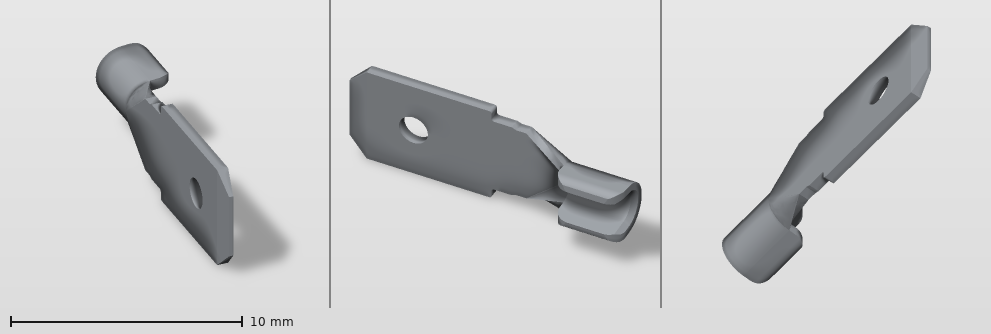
import cadquery as cq
import math

length = 13.97
height = 2.29
thickness = 0.52

blade_width = 4.75
blade_start = 7.0
shoulder_radius = 0.13
tip_start = 13.05
tip_width = 2.96
tip_thickness = 0.2
hole_x = 10.78
hole_diameter = 1.4

neck_start = 5.32
neck_width = 3.58
wide_neck_width = 3.75
neck_step_start = 5.81
neck_step_end = 6.02

barrel_length = 3.19
outer_radius = 1.27
inner_radius = outer_radius - thickness
splay = math.radians(4.5)
coin_start = 1.8
coin_end = (2.25, 1.13)
wing_corner_radius = 0.75
mouth_chamfer = 0.17
mouth_depth = 0.27


def arc_point(radius, angle):
    """(y, z) on a barrel circle, with the angle measured from the barrel bottom."""
    return outer_radius - radius * math.cos(angle), radius * math.sin(angle)


def wing_half_width(radius, y):
    """Half width of the straight wing wall that leaves the given barrel circle."""
    start_y, start_z = arc_point(radius, wing_angle)
    return start_z + (y - start_y) * math.tan(splay)


def mirrored(point):
    """The (y, z) point on the opposite wing."""
    return point[0], -point[1]


wing_angle = math.pi / 2 - splay
outer_end = arc_point(outer_radius, wing_angle)
inner_end = arc_point(inner_radius, wing_angle)
outer_bottom = arc_point(outer_radius, 0)


def channel(x, offset=0.0):
    """Wire across the open channel inside the barrel, with its wall moved out by the offset."""
    radius = inner_radius + offset
    end = arc_point(radius, wing_angle)
    top = (height, wing_half_width(radius, height))
    return (
        cq.Workplane("YZ", origin=(x, 0, 0))
        .moveTo(*mirrored(top))
        .lineTo(*mirrored(end))
        .threePointArc(arc_point(radius, 0), end)
        .lineTo(*top)
        .close()
    )


def make_barrel():
    """U-shaped barrel with rounded wing corners and a chamfered mouth."""
    coin_corner = (coin_start, wing_half_width(outer_radius, coin_start))
    inner_tip = (height, wing_half_width(inner_radius, height))
    body = (
        cq.Workplane("YZ")
        .moveTo(*outer_end)
        .lineTo(*coin_corner)
        .tangentArcPoint(coin_end, relative=False)
        .lineTo(*inner_tip)
        .lineTo(height, 0)
        .lineTo(*outer_bottom)
        .threePointArc(arc_point(outer_radius, wing_angle / 2), outer_end)
        .close()
        .extrude(barrel_length)
    )
    body = body.union(body.mirror("XY")).cut(channel(0).extrude(barrel_length))
    mouth = cq.Solid.makeLoft(
        [channel(0, mouth_chamfer).val(), channel(mouth_depth).val()], True
    )
    side_outline = (
        cq.Workplane("XY")
        .rect(barrel_length, 2 * height)
        .extrude(blade_width, both=True)
        .edges("|Z and >Y")
        .fillet(wing_corner_radius)
        .translate((barrel_length / 2, 0, 0))
    )
    return body.cut(cq.Workplane(mouth)).intersect(side_outline)


def polyhedron(faces):
    """Solid bounded by flat faces, each given as a list of points."""
    sides = []
    for face in faces:
        outline = cq.Wire.makePolygon([cq.Vector(*point) for point in face], close=True)
        sides.append(cq.Face.makeFromWires(outline))
    return cq.Workplane(cq.Solid.makeSolid(cq.Shell.makeShell(sides)))


def fan(radius, corner_y):
    """Flat triangle and two oblique cones running from a barrel circle to the neck corners."""
    bottom = arc_point(radius, 0)
    end = arc_point(radius, wing_angle)
    corner = (neck_start, corner_y, neck_width / 2)
    quarter = (
        cq.Workplane("YZ", origin=(barrel_length, 0, 0))
        .moveTo(*bottom)
        .threePointArc(arc_point(radius, wing_angle / 2), end)
        .lineTo(end[0], 0)
        .close()
        .val()
    )
    apex = cq.Vertex.makeVertex(*corner)
    cone = cq.Workplane(cq.occ_impl.shapes.loft(quarter, apex, cap=True, ruled=True))
    low = (barrel_length, bottom[0], 0)
    high = (barrel_length, end[0], 0)
    far_corner = (neck_start, corner_y, -neck_width / 2)
    middle = polyhedron(
        [
            [low, high, corner],
            [low, far_corner, high],
            [low, corner, far_corner],
            [high, far_corner, corner],
        ]
    )
    return middle.union(cone).union(cone.mirror("XY"))


def make_transition():
    """Flare that opens the barrel out into the flat neck."""
    barrel_edge = [outer_end, inner_end, mirrored(inner_end), mirrored(outer_end)]
    half_neck = neck_width / 2
    neck_edge = [(0, half_neck), (thickness, half_neck), (thickness, -half_neck), (0, -half_neck)]
    barrel_wire = cq.Workplane("YZ", origin=(barrel_length, 0, 0)).polyline(barrel_edge).close().val()
    neck_wire = cq.Workplane("YZ", origin=(neck_start, 0, 0)).polyline(neck_edge).close().val()
    rim = cq.Workplane(cq.Solid.makeLoft([barrel_wire, neck_wire], True))
    return fan(outer_radius, 0).union(rim).cut(fan(inner_radius, thickness))


def make_blade():
    """Flat neck and blade with rounded shoulders, tapered tip and hole."""
    half_outline = [
        (neck_start, 0),
        (neck_start, neck_width / 2),
        (neck_step_start, neck_width / 2),
        (neck_step_end, wide_neck_width / 2),
        (blade_start, wide_neck_width / 2),
        (blade_start, blade_width / 2),
        (tip_start, blade_width / 2),
        (length, tip_width / 2),
        (length, 0),
    ]
    half = cq.Workplane("XZ").polyline(half_outline).close().extrude(-thickness)
    shoulder = cq.selectors.BoxSelector(
        (blade_start - shoulder_radius, 0, neck_width / 2),
        (blade_start + shoulder_radius, thickness, blade_width),
    )
    half = half.edges("|Y").edges(shoulder).fillet(shoulder_radius)
    tip_step = (thickness - tip_thickness) / 2
    side_outline = (
        cq.Workplane("XY")
        .polyline(
            [
                (neck_start, 0),
                (tip_start, 0),
                (length, tip_step),
                (length, thickness - tip_step),
                (tip_start, thickness),
                (neck_start, thickness),
            ]
        )
        .close()
        .extrude(blade_width, both=True)
    )
    hole = cq.Workplane("XZ").center(hole_x, 0).circle(hole_diameter / 2).extrude(-thickness)
    return half.union(half.mirror("XY")).intersect(side_outline).cut(hole)


result = make_barrel().union(make_transition()).union(make_blade())